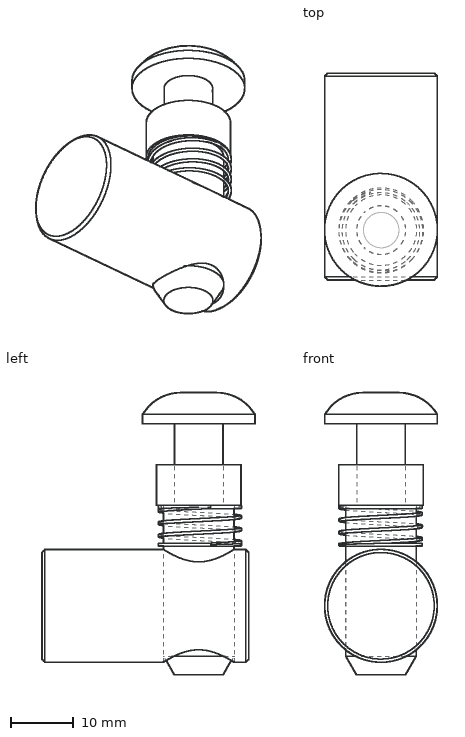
import cadquery as cq
import math


BARREL_DIAMETER = 18.0
BARREL_FRONT_Y = -8.0
BARREL_LENGTH = 33.0
BARREL_CHAMFER = 0.5

SHANK_DIAMETER = 11.3
STEM_DIAMETER = 7.75
HEAD_DIAMETER = 18.0
HEAD_FLAT_DIAMETER = 5.65
HEAD_HEIGHT = 5.0
HEAD_RIM_HEIGHT = 1.5
PIN_BOTTOM_Z = -11.0
PIN_LENGTH = 45.0
TIP_HEIGHT = 3.0
TIP_HALF_ANGLE = 30.0

COLLAR_DIAMETER = 13.5
COLLAR_HEIGHT = 6.5
SHOULDER_Z = 16.0

WIRE_DIAMETER = 0.5
COIL_DIAMETER = 12.85
COIL_PITCH = 2.0
COIL_TURNS = 3
COIL_START_ANGLE = 195.0
RING_SEAM_ANGLE = 180.0
COIL_OFFSET = 0.2
COIL_OFFSET_ANGLE = 255.0


def make_barrel():
    bar = (
        cq.Workplane("XZ", origin=(0, BARREL_FRONT_Y, 0))
        .circle(BARREL_DIAMETER / 2)
        .extrude(-BARREL_LENGTH)
        .faces("<Y or >Y")
        .chamfer(BARREL_CHAMFER)
    )
    pin_hole = cq.Workplane("XY").circle(SHANK_DIAMETER / 2).extrude(BARREL_DIAMETER, both=True)
    return bar.cut(pin_hole)


def make_pin():
    shank_radius = SHANK_DIAMETER / 2
    stem_radius = STEM_DIAMETER / 2
    rim_radius = HEAD_DIAMETER / 2
    flat_radius = HEAD_FLAT_DIAMETER / 2
    tip_radius = shank_radius - TIP_HEIGHT * math.tan(math.radians(TIP_HALF_ANGLE))

    top_z = PIN_BOTTOM_Z + PIN_LENGTH
    head_z = top_z - HEAD_HEIGHT
    rim_top_z = head_z + HEAD_RIM_HEIGHT

    dome_height = top_z - rim_top_z
    dome_width = rim_radius - flat_radius
    dome_radius = (dome_width**2 + dome_height**2) / (2 * dome_height)
    dome_mid_radius = flat_radius + dome_width / 2
    dome_mid_z = top_z - dome_radius + math.sqrt(dome_radius**2 - (dome_width / 2) ** 2)

    return (
        cq.Workplane("XZ")
        .moveTo(0, PIN_BOTTOM_Z)
        .lineTo(tip_radius, PIN_BOTTOM_Z)
        .lineTo(shank_radius, PIN_BOTTOM_Z + TIP_HEIGHT)
        .lineTo(shank_radius, SHOULDER_Z)
        .lineTo(stem_radius, SHOULDER_Z)
        .lineTo(stem_radius, head_z)
        .lineTo(rim_radius, head_z)
        .lineTo(rim_radius, rim_top_z)
        .threePointArc((dome_mid_radius, dome_mid_z), (flat_radius, top_z))
        .lineTo(0, top_z)
        .close()
        .revolve(360, (0, 0, 0), (0, 1, 0))
    )


def make_collar():
    return (
        cq.Workplane("XY", origin=(0, 0, SHOULDER_Z))
        .circle(COLLAR_DIAMETER / 2)
        .circle(STEM_DIAMETER / 2)
        .extrude(COLLAR_HEIGHT)
    )


def make_spring():
    coil_radius = COIL_DIAMETER / 2
    wire_radius = WIRE_DIAMETER / 2
    coil_height = COIL_PITCH * COIL_TURNS
    bottom_ring_z = SHOULDER_Z - wire_radius - coil_height

    helix = cq.Wire.makeHelix(COIL_PITCH, coil_height, coil_radius)
    coil = cq.Workplane("XZ").center(coil_radius, 0).circle(wire_radius).sweep(helix, isFrenet=True)

    rings = []
    for ring_z in (0, coil_height):
        ring = cq.Solid.makeTorus(coil_radius, wire_radius, cq.Vector(0, 0, ring_z))
        rings.append(ring.rotate(cq.Vector(0, 0, 0), cq.Vector(0, 0, 1), RING_SEAM_ANGLE))
    spring = cq.Workplane(coil.val().fuse(*rings))

    offset_direction = math.radians(COIL_OFFSET_ANGLE)
    place = (
        COIL_OFFSET * math.cos(offset_direction),
        COIL_OFFSET * math.sin(offset_direction),
        bottom_ring_z,
    )
    return spring.rotate((0, 0, 0), (0, 0, 1), COIL_START_ANGLE).translate(place)


barrel = make_barrel()
pin = make_pin()
collar = make_collar()
spring = make_spring()

result = cq.Compound.makeCompound([*barrel.solids().vals(), pin.val(), collar.val(), *spring.solids().vals()])